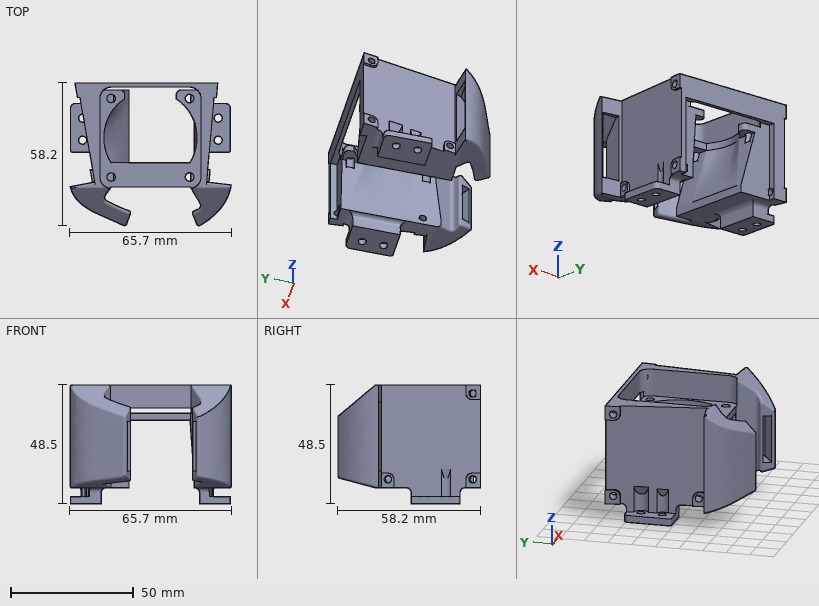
import cadquery as cq
import math

LEFT, RIGHT = -1, 1
SIDES = (LEFT, RIGHT)

BACK_Y = 22.35
FRONT_Y = -20.1
BODY_HEIGHT = 42.0
TOTAL_HEIGHT = 48.5
WALL_X_AT_AXIS = {LEFT: 25.85, RIGHT: 24.5}
WALL_ANGLE = {LEFT: 10.0, RIGHT: 5.0}

POCKET_SIZE = 41.2
POCKET_CORNER_R = 4.6
SEAT_DEPTH = 11.5
SEAT_THICKNESS = 3.0
SEAT_BOTTOM = -(SEAT_DEPTH + SEAT_THICKNESS)
FAN_BORE_R = 19.0
BORE_FRONT_Y = -10.1
SEAT_BACK_Y = 19.5
LOBE_GAP_HALF = 10.5
LOBE_CORNER_R = 2.0
BACK_WALL_HEIGHT = 9.5
REAR_GAP_HALF = 24.0
FAN_HOLE_OFFSET = 16.0
FAN_HOLE_D = 3.45
FAN_HOLE_DEPTH = 6.5

CAVITY_TOP_HALF = math.sqrt(FAN_BORE_R**2 - BORE_FRONT_Y**2)
CAVITY_BOTTOM_X = {LEFT: -8.65, RIGHT: 17.8}
CAVITY_LEAN_END_Z = -38.5
CAVITY_FRONT_Y = -24.0
CAVITY_BOTTOM_BACK_Y = 16.5

PAD_SIZE = 6.0
PAD_RAISE = 1.0
PAD_CORNER_R = 2.5
PAD_HOLE_D = 3.0
PAD_HOLE_DEPTH = 6.6
PAD_HOLE_BACK_Y = 19.0
PAD_HOLE_FRONT_Y = -15.5
PAD_HOLE_TOP_Z = -3.5
PAD_HOLE_BOTTOM_Z = -38.5
FRONT_PAD_BACK_Y = PAD_HOLE_FRONT_Y + PAD_CORNER_R

TAB_OUTER_X = 32.6
TAB_INNER_X = 20.0
TAB_FRONT_Y = -6.0
TAB_BACK_Y = 14.0
TAB_THICKNESS = 3.0
TAB_TOP = TAB_THICKNESS - TOTAL_HEIGHT
TAB_BACK_R = 2.0
TAB_FRONT_R = 1.0
STEM_FILLET = 1.9
TAB_HOLE_D = 3.2
TAB_HOLE_X = 27.6
SCREW_HEAD_D = 6.0
RECESS_INNER_Z = -38.5
TAB_HOLE_BACK_Y = 8.0
TAB_HOLE_FRONT_Y = -1.0
RECESS_TOP_Z = {TAB_HOLE_BACK_Y: -34.5, TAB_HOLE_FRONT_Y: -35.4}

FLANGE_Y = -18.0
NOZZLE_START_Y = -20.5
NOZZLE_LENGTH = 15.75
NOZZLE_TOP_ANGLE = 40.0
NOZZLE_BOTTOM_ANGLE = 15.0
NOZZLE_EDGE_R = 1.0
FLANGE_EDGE_R = 1.0
FLANGE_LENGTH = 12.0
NOZZLE_THROAT_R = 1.5
INLET_WALL_GAP = 1.5
INLET_WIDTH = 8.0
INLET_TOP = -7.0
OUTLET_TOP = -15.0
DUCT_BOTTOM = -35.0
DUCT_SLOPE_END_Y = -29.0
OUTLET_MARGIN = 1.3
OUTLET_WIDTH = 3.5

CUT_MARGIN = 1.0
PART_REACH = 2 * TAB_OUTER_X

NOZZLE_PLAN = {
    LEFT: {
        "flange_end": (-32.7, -19.9),
        "outer_curve": [(-30.7, -24.3), (-24.2, -29.7)],
        "tip_outer": (-10.1, -36.3),
        "tip_inner": (-7.75, -30.05),
        "inner_curve": (-13.05, -28.0),
        "throat": (-19.3, -24.8),
        "root": (-16.0, -20.1),
        "duct_outer": (-24.5, -27.9),
        "duct_inner": (-19.6, -27.0),
    },
    RIGHT: {
        "flange_end": (32.95, -19.2),
        "outer_curve": [(30.8, -25.6), (26.8, -30.8)],
        "tip_outer": (19.3, -36.3),
        "tip_inner": (16.8, -30.2),
        "inner_curve": (18.9, -29.3),
        "throat": (20.9, -28.0),
        "root": (16.3, -20.1),
        "duct_outer": (26.0, -29.8),
        "duct_inner": (22.4, -28.3),
    },
}


def block(x_range, y_range, z_range):
    """Axis-aligned box between pairs of limits."""
    sizes = [high - low for low, high in (x_range, y_range, z_range)]
    corner = cq.Vector(x_range[0], y_range[0], z_range[0])
    return cq.Workplane(cq.Solid.makeBox(*sizes, corner))


def plan_prism(points, z_low, z_high):
    """Vertical prism over a closed plan polygon."""
    return cq.Workplane("XY", origin=(0, 0, z_low)).polyline(points).close().extrude(z_high - z_low)


def side_prism(points):
    """Prism along X over a closed (y, z) polygon."""
    return cq.Workplane("YZ").polyline(points).close().extrude(PART_REACH, both=True)


def post(x, y, z_low, z_high, diameter):
    """Vertical cylinder."""
    start = cq.Vector(x, y, z_low)
    return cq.Workplane(cq.Solid.makeCylinder(diameter / 2, z_high - z_low, start))


def wall_x(side, y, raise_by=0.0):
    """X of the leaning outer wall at depth y, optionally offset outwards."""
    angle = math.radians(WALL_ANGLE[side])
    return side * (WALL_X_AT_AXIS[side] + y * math.tan(angle) + raise_by / math.cos(angle))


def outward(side):
    """Unit normal of an outer wall in plan, pointing out of the body."""
    angle = math.radians(WALL_ANGLE[side])
    return cq.Vector(side * math.cos(angle), -math.sin(angle), 0)


def along(start, end, distance):
    """Point at a distance from start on the way to end."""
    fraction = distance / math.dist(start, end)
    return tuple(a + fraction * (b - a) for a, b in zip(start, end))


def make_body():
    corners = [
        (wall_x(LEFT, BACK_Y), BACK_Y), (wall_x(LEFT, FRONT_Y), FRONT_Y),
        (wall_x(RIGHT, FRONT_Y), FRONT_Y), (wall_x(RIGHT, BACK_Y), BACK_Y),
    ]
    return plan_prism(corners, -BODY_HEIGHT, 0)


def make_stem(side):
    """Leg under the wall down to the tab, its outer face flush with the wall."""
    inner = side * TAB_INNER_X
    corners = [
        (inner, TAB_FRONT_Y), (wall_x(side, TAB_FRONT_Y), TAB_FRONT_Y),
        (wall_x(side, TAB_BACK_Y), TAB_BACK_Y), (inner, TAB_BACK_Y),
    ]
    return plan_prism(corners, -TOTAL_HEIGHT, -BODY_HEIGHT)


def stem_root_edges(body):
    """Edges round the stems where they leave the body, without the flush outer ones."""
    middle_y = (TAB_FRONT_Y + TAB_BACK_Y) / 2
    points = []
    for side in SIDES:
        points.append((side * TAB_INNER_X, middle_y))
        for y in (TAB_FRONT_Y, TAB_BACK_Y):
            points.append(((side * TAB_INNER_X + wall_x(side, y)) / 2, y))
    selected = []
    for x, y in points:
        near = cq.selectors.NearestToPointSelector((x, y, -BODY_HEIGHT))
        selected += body.edges(near).vals()
    return selected


def make_tab(side):
    x_range = sorted((side * TAB_INNER_X, side * TAB_OUTER_X))
    tab = block(x_range, (TAB_FRONT_Y, TAB_BACK_Y), (-TOTAL_HEIGHT, TAB_TOP))
    outer = "<X" if side == LEFT else ">X"
    tab = tab.faces(outer).edges(">Y").fillet(TAB_BACK_R)
    return tab.faces(outer).edges("<Y").fillet(TAB_FRONT_R)


def make_screw_recess(side, y):
    """Screw-head clearance in the wall above a tab hole, closed by a sloping roof."""
    x = side * TAB_HOLE_X
    top = RECESS_TOP_Z[y]
    shaft = post(x, y, TAB_TOP, 0, SCREW_HEAD_D)
    inner = x - side * SCREW_HEAD_D / 2
    slope = (top - RECESS_INNER_Z) / (abs(wall_x(side, y)) - abs(inner))
    roof = [
        (inner, TAB_TOP), (inner, RECESS_INNER_Z),
        (inner + side * SCREW_HEAD_D, RECESS_INNER_Z + slope * SCREW_HEAD_D),
        (inner + side * SCREW_HEAD_D, TAB_TOP),
    ]
    wedge = cq.Workplane("XZ", origin=(0, y, 0)).polyline(roof).close().extrude(SCREW_HEAD_D, both=True)
    wedge = wedge.rotate((x, y, 0), (x, y, 1), -side * WALL_ANGLE[side])
    return shaft.intersect(wedge)


def make_pads(side):
    """Raised bosses at three corners of a wall."""
    low, high = -BODY_HEIGHT, -BODY_HEIGHT + PAD_SIZE
    back = (BACK_Y - PAD_SIZE, BACK_Y)
    x_range = (-PART_REACH, PART_REACH)
    pads = block(x_range, back, (low, high)).edges("|X and >Z and <Y").fillet(PAD_CORNER_R)
    top_pad = block(x_range, back, (-PAD_SIZE, 0)).edges("|X and <Z and <Y").fillet(PAD_CORNER_R)
    front_pad = block(x_range, (FRONT_Y, FRONT_PAD_BACK_Y), (low, high))
    front_pad = front_pad.edges("|X and >Z and >Y").fillet(PAD_CORNER_R)
    pads = pads.union(top_pad).union(front_pad)
    strip = [
        (wall_x(side, BACK_Y, PAD_RAISE), BACK_Y), (wall_x(side, FLANGE_Y, PAD_RAISE), FLANGE_Y),
        (wall_x(side, FLANGE_Y, -PAD_RAISE), FLANGE_Y), (wall_x(side, BACK_Y, -PAD_RAISE), BACK_Y),
    ]
    return pads.intersect(plan_prism(strip, -BODY_HEIGHT, 0))


def make_pad_holes(side):
    """Blind holes square to the wall, through the pads."""
    holes = cq.Workplane()
    places = [
        (PAD_HOLE_BACK_Y, PAD_HOLE_TOP_Z), (PAD_HOLE_BACK_Y, PAD_HOLE_BOTTOM_Z),
        (PAD_HOLE_FRONT_Y, PAD_HOLE_BOTTOM_Z),
    ]
    for y, z in places:
        mouth = cq.Vector(wall_x(side, y, PAD_RAISE), y, z)
        start = mouth + outward(side) * CUT_MARGIN
        hole = cq.Solid.makeCylinder(PAD_HOLE_D / 2, PAD_HOLE_DEPTH + CUT_MARGIN, start, -outward(side))
        holes = holes.add(hole)
    return holes.combine()


def make_pocket():
    pocket = cq.Workplane("XY").rect(POCKET_SIZE, POCKET_SIZE).extrude(-SEAT_DEPTH)
    return pocket.edges("|Z").fillet(POCKET_CORNER_R)


def make_fan_bore():
    """Round opening of the seat: cut straight at the front, open between lobes at the back."""
    bore = post(0, 0, SEAT_BOTTOM, -SEAT_DEPTH, 2 * FAN_BORE_R)
    limits = (-FAN_BORE_R, FAN_BORE_R)
    bore = bore.intersect(block(limits, (BORE_FRONT_Y, FAN_BORE_R), (SEAT_BOTTOM, -SEAT_DEPTH)))
    gap = (-LOBE_GAP_HALF, LOBE_GAP_HALF)
    bore = bore.union(block(gap, (0, SEAT_BACK_Y), (SEAT_BOTTOM, -SEAT_DEPTH)))
    for side in SIDES:
        corner = (side * LOBE_GAP_HALF, SEAT_BACK_Y)
        centre = (corner[0] + side * LOBE_CORNER_R, SEAT_BACK_Y - LOBE_CORNER_R)
        x_range = sorted((corner[0], centre[0]))
        rounding = block(x_range, (centre[1], SEAT_BACK_Y), (SEAT_BOTTOM, -SEAT_DEPTH))
        bore = bore.union(rounding.cut(post(*centre, SEAT_BOTTOM, -SEAT_DEPTH, 2 * LOBE_CORNER_R)))
    return bore


def make_rear_gap():
    """Opening under the back wall, behind the fan seat."""
    limits = (-REAR_GAP_HALF, REAR_GAP_HALF)
    return block(limits, (SEAT_BACK_Y, BACK_Y), (-BODY_HEIGHT, -BACK_WALL_HEIGHT))


def make_cavity():
    """Air space below the seat: a leaning channel, widened from the round bore downwards."""
    left, right = CAVITY_BOTTOM_X[LEFT], CAVITY_BOTTOM_X[RIGHT]
    half = CAVITY_TOP_HALF
    section = [
        (-half, SEAT_BOTTOM), (half, SEAT_BOTTOM), (right, CAVITY_LEAN_END_Z),
        (right, -BODY_HEIGHT), (left, -BODY_HEIGHT), (left, CAVITY_LEAN_END_Z),
    ]
    channel = cq.Workplane("XZ", origin=(0, BACK_Y, 0)).polyline(section).close()
    channel = channel.extrude(BACK_Y - CAVITY_FRONT_Y)
    flare = (
        cq.Workplane("XY", origin=(0, 0, SEAT_BOTTOM))
        .moveTo(-half, BORE_FRONT_Y)
        .lineTo(half, BORE_FRONT_Y)
        .threePointArc((FAN_BORE_R, 0), (half, -BORE_FRONT_Y))
        .lineTo(-half, -BORE_FRONT_Y)
        .threePointArc((-FAN_BORE_R, 0), (-half, BORE_FRONT_Y))
        .close()
        .workplane(offset=CAVITY_LEAN_END_Z - SEAT_BOTTOM)
        .moveTo(left, BORE_FRONT_Y)
        .lineTo(right, BORE_FRONT_Y)
        .lineTo(right, CAVITY_BOTTOM_BACK_Y)
        .lineTo(left, CAVITY_BOTTOM_BACK_Y)
        .close()
        .loft(ruled=True)
    )
    return channel.union(flare)


def make_nozzle(side):
    """Solid hooked nozzle with sloping top and bottom and rounded edges."""
    plan = NOZZLE_PLAN[side]
    nozzle = (
        cq.Workplane("XY", origin=(0, 0, -BODY_HEIGHT))
        .moveTo(wall_x(side, FLANGE_Y), FLANGE_Y)
        .lineTo(*plan["flange_end"])
        .spline(plan["outer_curve"] + [plan["tip_outer"]], includeCurrent=True)
        .lineTo(*plan["tip_inner"])
        .threePointArc(plan["inner_curve"], plan["throat"])
        .lineTo(*plan["root"])
        .close()
        .extrude(BODY_HEIGHT)
    )
    throat = cq.selectors.NearestToPointSelector((*plan["throat"], -BODY_HEIGHT / 2))
    nozzle = nozzle.edges(throat).fillet(NOZZLE_THROAT_R)
    bounds = nozzle_bounds()
    nozzle = nozzle.intersect(bounds)
    ahead_y = NOZZLE_START_Y - NOZZLE_EDGE_R
    ahead = cq.selectors.BoxSelector((-PART_REACH, -PART_REACH, -TOTAL_HEIGHT), (PART_REACH, ahead_y, 0))
    if side == RIGHT:
        sharp = cq.selectors.NearestToPointSelector((*plan["outer_curve"][-1], 0))
        ahead = ahead - sharp
    nozzle = nozzle.edges(ahead).fillet(NOZZLE_EDGE_R)
    slope_start = cq.selectors.NearestToPointSelector((0, NOZZLE_START_Y, 0))
    return nozzle.intersect(bounds.edges(slope_start).fillet(NOZZLE_EDGE_R))


def nozzle_bounds():
    """Prism along X that gives the nozzles their falling top and rising bottom."""
    reach = NOZZLE_LENGTH + CUT_MARGIN
    end_y = NOZZLE_START_Y - reach
    top_drop = reach * math.tan(math.radians(NOZZLE_TOP_ANGLE))
    bottom_rise = reach * math.tan(math.radians(NOZZLE_BOTTOM_ANGLE))
    return side_prism([
        (0, 0), (NOZZLE_START_Y, 0), (end_y, -top_drop),
        (end_y, bottom_rise - BODY_HEIGHT), (NOZZLE_START_Y, -BODY_HEIGHT), (0, -BODY_HEIGHT),
    ])


def make_flange_rounding(side):
    """Waste to remove from the upper edge of the flange behind a nozzle."""
    corner = cq.Vector(wall_x(side, FLANGE_Y), FLANGE_Y, 0)
    direction = (cq.Vector(*NOZZLE_PLAN[side]["flange_end"], 0) - corner).normalized()
    bar = cq.Workplane(cq.Plane(corner, direction.cross(cq.Vector(0, 0, 1)), direction))
    bar = bar.rect(2 * FLANGE_EDGE_R, 2 * FLANGE_EDGE_R).extrude(FLANGE_LENGTH)
    inward = direction.cross(cq.Vector(0, 0, side))
    axis_start = corner + inward * FLANGE_EDGE_R - cq.Vector(0, 0, FLANGE_EDGE_R)
    core = cq.Solid.makeCylinder(FLANGE_EDGE_R, FLANGE_LENGTH, axis_start, direction)
    return bar.cut(cq.Workplane(core))


def make_duct(side):
    """Air passage from the blower inlet in the flange to the outlet in the nozzle tip."""
    plan = NOZZLE_PLAN[side]
    corner = (wall_x(side, FLANGE_Y), FLANGE_Y)
    inlet_near = along(corner, plan["flange_end"], INLET_WALL_GAP)
    inlet_far = along(corner, plan["flange_end"], INLET_WALL_GAP + INLET_WIDTH)
    outlet_near = along(plan["tip_inner"], plan["tip_outer"], OUTLET_MARGIN)
    outlet_far = along(plan["tip_inner"], plan["tip_outer"], OUTLET_MARGIN + OUTLET_WIDTH)
    route = [
        along(inlet_near, plan["duct_inner"], -CUT_MARGIN), inlet_near, plan["duct_inner"], outlet_near,
        along(outlet_near, plan["duct_inner"], -CUT_MARGIN),
        along(outlet_far, plan["duct_outer"], -CUT_MARGIN), outlet_far,
        plan["duct_outer"], inlet_far, along(inlet_far, plan["duct_outer"], -CUT_MARGIN),
    ]
    profile = [
        (0, INLET_TOP), (NOZZLE_START_Y, INLET_TOP), (DUCT_SLOPE_END_Y, OUTLET_TOP),
        (-PART_REACH, OUTLET_TOP), (-PART_REACH, DUCT_BOTTOM), (0, DUCT_BOTTOM),
    ]
    return plan_prism(route, -BODY_HEIGHT, 0).intersect(side_prism(profile))


result = make_body()
for side in SIDES:
    result = result.union(make_stem(side))
result = result.newObject(stem_root_edges(result)).fillet(STEM_FILLET)

for side in SIDES:
    result = result.union(make_pads(side)).union(make_nozzle(side))

for opening in (make_pocket(), make_fan_bore(), make_rear_gap(), make_cavity()):
    result = result.cut(opening)

for side in SIDES:
    result = result.cut(make_pad_holes(side)).cut(make_duct(side))
    result = result.cut(make_flange_rounding(side))
    for y in (-FAN_HOLE_OFFSET, FAN_HOLE_OFFSET):
        x = side * FAN_HOLE_OFFSET
        result = result.cut(post(x, y, -SEAT_DEPTH - FAN_HOLE_DEPTH, -SEAT_DEPTH, FAN_HOLE_D))
    result = result.union(make_tab(side))
    for y in (TAB_HOLE_BACK_Y, TAB_HOLE_FRONT_Y):
        if abs(wall_x(side, y)) > TAB_HOLE_X - SCREW_HEAD_D / 2:
            result = result.cut(make_screw_recess(side, y))
        result = result.cut(post(side * TAB_HOLE_X, y, -TOTAL_HEIGHT, TAB_TOP, TAB_HOLE_D))